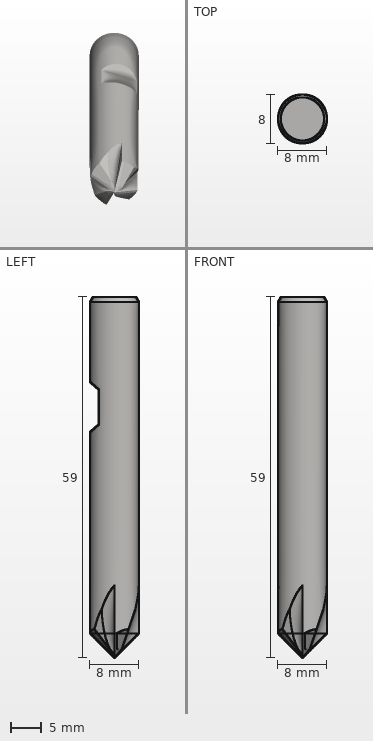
import cadquery as cq
import math

length = 59.0
diameter = 8.0
radius = diameter / 2
tip_height = radius

end_chamfer_width = 0.5
end_chamfer_height = 0.8
notch_center_z = 41.0
notch_outer_length = 8.2
notch_run = 1.25
notch_depth = 1.4

tooth_count = 4
tooth_pitch = 360 / tooth_count
floor_slope = 0.34
gullet_width = 2.2
gullet_depth = 0.7
gullet_taper_height = 4.15
margin_width = 0.35
relief_slope = 0.72
flute_start = 0.01
flute_steps = 5
flute_reach = 15.35
cutter_width = 3 * radius


def flute_section(height, width):
    """Horizontal section of a flute: rake at X = 0, sloping gullet, floor along X."""
    floor_y = -floor_slope * height - gullet_depth
    outer_y = floor_y - cutter_width
    outline = [
        (0, floor_y + gullet_depth),
        (-width, floor_y),
        (-cutter_width, floor_y),
        (-cutter_width, outer_y),
        (0, outer_y),
    ]
    return cq.Workplane("XY", origin=(0, 0, height)).polyline(outline).close().wire().val()


def make_flute():
    """Flute on the -X side of the -Y edge, its gullet narrowing to nothing at the point."""
    sections = []
    for step in range(flute_steps + 1):
        height = flute_start + (flute_reach - flute_start) * step / flute_steps
        width = gullet_width * math.tanh(height / gullet_taper_height)
        sections.append(flute_section(height, width))
    return cq.Workplane(cq.Solid.makeLoft(sections))


def make_quadrant():
    """Box around the +X, -Y quarter of the tip."""
    return cq.Workplane("XY").box(radius, radius, tip_height, centered=False).translate((0, -radius, 0))


def make_relief():
    """Wedge below the sloping relief plane behind the -Y cutting edge."""
    run = radius - margin_width
    end_rise = relief_slope * run
    low_z = -length
    sections = []
    for x, rise in ((margin_width, 0), (margin_width + run, end_rise)):
        outline = (
            cq.Workplane("YZ", origin=(x, 0, 0))
            .polyline([(0, rise), (-diameter, diameter + rise), (-diameter, low_z), (0, low_z)])
            .close()
        )
        sections.append(outline.wire().val())
    return cq.Workplane(cq.Solid.makeLoft(sections, True))


def make_blank():
    """Round bar with a chamfered end and a conical point."""
    profile = [
        (0, 0),
        (radius, tip_height),
        (radius, length - end_chamfer_height),
        (radius - end_chamfer_width, length),
        (0, length),
    ]
    return cq.Workplane("XZ").polyline(profile).close().revolve(360, (0, 0), (0, 1))


def make_clamping_notch():
    """Trapezoidal notch across the +Y side of the shank."""
    half_outer = notch_outer_length / 2
    half_inner = half_outer - notch_run
    return (
        cq.Workplane("YZ", origin=(-radius, 0, notch_center_z))
        .polyline([
            (radius, -half_outer),
            (radius - notch_depth, -half_inner),
            (radius - notch_depth, half_inner),
            (radius, half_outer),
        ])
        .close()
        .extrude(diameter)
    )


def make_cutter():
    """Complete cutter shape before its teeth are separated."""
    cutter = make_blank().cut(make_clamping_notch())
    cuts = [make_flute(), make_relief()]
    for index in range(tooth_count):
        for cut in cuts:
            cutter = cutter.cut(cut.rotate((0, 0, 0), (0, 0, 1), index * tooth_pitch))
    return cutter


def make_body(cutter):
    """Shank and fluted cylinder above the conical tip."""
    tip_space = cq.Workplane("XY").box(diameter, diameter, tip_height, centered=(True, True, False))
    return cutter.cut(tip_space)


def make_tooth(cutter, index):
    """One quarter of the conical tip, carrying one cutting edge."""
    quadrant = make_quadrant().rotate((0, 0, 0), (0, 0, 1), index * tooth_pitch)
    return cutter.intersect(quadrant)


cutter_shape = make_cutter()
body = make_body(cutter_shape)
teeth = [make_tooth(cutter_shape, index) for index in range(tooth_count)]

result = cq.Compound.makeCompound([*body.vals(), *[tooth.solids().val() for tooth in teeth]])